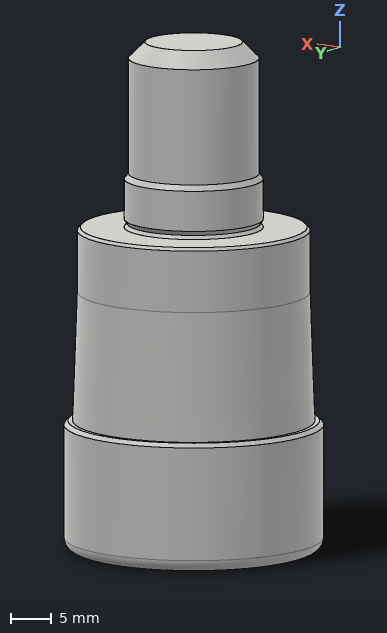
import cadquery as cq

collar_height = 16.0
taper_top = 2 * collar_height
body_top = 2.5 * collar_height
groove_root_height = body_top + 0.45
pilot_bottom = body_top + 1.0
pilot_top = 46.0
shank_bottom = 46.7
total_height = 63.0

collar_radius = 15.9
taper_base_radius = 14.8
body_radius = 14.25
pilot_radius = 8.5
groove_root_radius = 8.1
shank_radius = 8.0

collar_bottom_fillet = 1.5
collar_top_chamfer = 0.5
body_top_chamfer = 0.4
tip_chamfer = 2.0


def make_collar():
    """Solid round base with a rounded lower rim and a bevelled upper rim."""
    collar = cq.Workplane("XY").circle(collar_radius).extrude(collar_height)
    collar = collar.faces("<Z").edges().fillet(collar_bottom_fillet)
    return collar.faces(">Z").edges().chamfer(collar_top_chamfer)


def make_stud():
    """Turned stud: tapered body, relief groove, pilot and chamfered shank."""
    profile = [
        (0, collar_height),
        (taper_base_radius, collar_height),
        (body_radius, taper_top),
        (body_radius, body_top - body_top_chamfer),
        (body_radius - body_top_chamfer, body_top),
        (pilot_radius, body_top),
        (groove_root_radius, groove_root_height),
        (pilot_radius, pilot_bottom),
        (pilot_radius, pilot_top),
        (shank_radius, shank_bottom),
        (shank_radius, total_height - tip_chamfer),
        (shank_radius - tip_chamfer, total_height),
        (0, total_height),
    ]
    half_section = cq.Workplane("XZ").polyline(profile).close()
    return half_section.revolve(360, (0, 0, 0), (0, 1, 0))


collar = make_collar()
stud = make_stud()
result = cq.Compound.makeCompound([collar.val(), stud.val()])